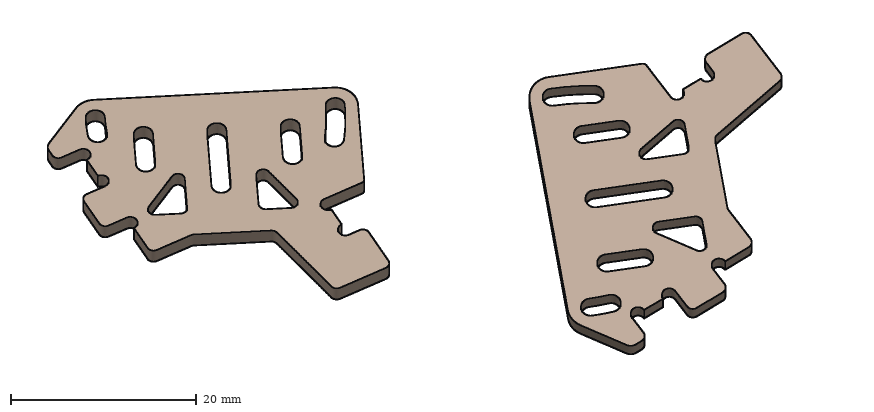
import cadquery as cq
import math

length_x = 35.5
thickness = 2.0

pivot = (2.5, 6.53)
spine_angle = 65.0
spine_length = 26.0
body_radius = 2.5
body_width = 16.55
foot_slant = 60.0
arm_slant = 10.0

socket_left = 24.07
socket_right = 29.6
socket_floor = 22.95
arm_top = 25.0
arm_lower_corner = 18.0

lower_floor = 2.98
foot_right = 5.45
tooth_left = 11.15
tooth_right = 16.05
heel_right = 21.48
relief_width = 1.6
relief_radius = relief_width / 2
corner_radius = 0.75
shoulder_radius = 0.5
foot_tip_radius = 1.0

slot_width = 2.1
slot_start = 2.6
short_slot_length = 4.0
long_slot_length = 7.42
short_slot_offset = 7.95
upper_arc_sweep = 10.0
lower_arc_sweep = 5.0
window_right = 13.6
window_offset = 3.87
window_height = 4.95
window_angle = 35.0
window_radius = 0.75


def polar(center, radius, angle):
    """Point at a given radius and angle in degrees from a centre."""
    a = math.radians(angle)
    return (center[0] + radius * math.cos(a), center[1] + radius * math.sin(a))


def on_body(along, across):
    """Point measured along the spine from the pivot, then across to the right."""
    return polar(polar(pivot, along, spine_angle), across, spine_angle - 90)


def meet(p, p_angle, q, q_angle):
    """Intersection of two lines, each given by a point and a direction."""
    a = math.radians(p_angle)
    b = math.radians(q_angle)
    travel = (q[0] - p[0]) * math.sin(b) - (q[1] - p[1]) * math.cos(b)
    return polar(p, travel / math.sin(b - a), p_angle)


def prism(points):
    return cq.Workplane("XY").polyline(points).close().extrude(thickness)


def round_corners(body, points, radius):
    """Fillet the upright edges standing on the given points."""
    half = 0.018
    for x, y in points:
        box = cq.selectors.BoxSelector((x - half, y - half, -0.35), (x + half, y + half, thickness + 0.35))
        body = body.edges("|Z").edges(box).fillet(radius)
    return body


def make_plate():
    left_edge = on_body(0, -body_radius)
    top_edge = on_body(spine_length + body_radius, 0)
    slant_edge = polar(pivot, body_radius, 270 - foot_slant)
    right_edge = on_body(0, body_width)

    lower_left = meet(left_edge, spine_angle, slant_edge, -foot_slant)
    upper_left = meet(left_edge, spine_angle, top_edge, spine_angle - 90)
    foot_left = meet(slant_edge, -foot_slant, (0, 0), 0)
    shoulder = meet(top_edge, spine_angle - 90, (socket_left, 0), 90)
    arm_lower = (length_x, arm_lower_corner)
    armpit = meet(arm_lower, arm_slant, right_edge, spine_angle)
    heel_upper = meet(right_edge, spine_angle, (heel_right, 0), 90)

    foot_corner = (foot_right, 0)
    tooth_corners = [(tooth_left, 0), (tooth_right, 0)]
    heel_corner = (heel_right, lower_floor)
    arm_corners = [(length_x, arm_top), (socket_right, arm_top)]
    plate = prism([
        lower_left, foot_left, foot_corner,
        (foot_right, lower_floor), (tooth_left, lower_floor),
        *tooth_corners,
        (tooth_right, lower_floor), heel_corner,
        heel_upper, armpit, arm_lower,
        *arm_corners,
        (socket_right, socket_floor), (socket_left, socket_floor),
        shoulder, upper_left,
    ])
    plate = round_corners(plate, [lower_left, upper_left], body_radius)
    plate = round_corners(plate, [foot_corner, *tooth_corners, heel_corner], corner_radius)
    plate = round_corners(plate, [heel_upper, armpit, arm_lower, *arm_corners], corner_radius)
    plate = round_corners(plate, [foot_left], foot_tip_radius)
    return round_corners(plate, [shoulder], shoulder_radius)


def make_reliefs():
    """Round reliefs at the inner corners, tangent to the upright walls."""
    centers = [
        (foot_right + relief_radius, lower_floor),
        (tooth_left - relief_radius, lower_floor),
        (tooth_right + relief_radius, lower_floor),
        (socket_left + relief_radius, socket_floor),
        (socket_right - relief_radius, socket_floor),
    ]
    return cq.Workplane("XY").pushPoints(centers).circle(relief_radius).extrude(thickness)


def straight_slot(along, length):
    center = on_body(along, slot_start + length / 2)
    return (
        cq.Workplane("XY").center(*center)
        .slot2D(length + slot_width, slot_width, spine_angle - 90)
        .extrude(thickness)
    )


def arc_slot(center, start_angle, sweep):
    """Slot curved about a centre at one end of the spine."""
    half = slot_width / 2
    inner = spine_length - half
    outer = spine_length + half
    end_angle = start_angle + sweep
    middle = start_angle + sweep / 2
    cap_turn = math.copysign(90, sweep)
    start_cap = polar(polar(center, spine_length, start_angle), half, start_angle - cap_turn)
    end_cap = polar(polar(center, spine_length, end_angle), half, end_angle + cap_turn)
    return (
        cq.Workplane("XY").moveTo(*polar(center, inner, start_angle))
        .threePointArc(polar(center, inner, middle), polar(center, inner, end_angle))
        .threePointArc(end_cap, polar(center, outer, end_angle))
        .threePointArc(polar(center, outer, middle), polar(center, outer, start_angle))
        .threePointArc(start_cap, polar(center, inner, start_angle))
        .close().extrude(thickness)
    )


def window(side):
    """Right-angled triangular window, above (+1) or below (-1) the spine's middle."""
    base = spine_length / 2 + side * window_offset
    window_length = window_height / math.tan(math.radians(window_angle))
    points = [
        on_body(base, window_right),
        on_body(base + side * window_height, window_right),
        on_body(base, window_right - window_length),
    ]
    return prism(points).edges("|Z").fillet(window_radius)


result = make_plate().cut(make_reliefs())
result = result.cut(straight_slot(spine_length / 2, long_slot_length))
for side in (-1, 1):
    result = result.cut(straight_slot(spine_length / 2 + side * short_slot_offset, short_slot_length))
    result = result.cut(window(side))
result = result.cut(arc_slot(pivot, spine_angle, -upper_arc_sweep))
result = result.cut(arc_slot(on_body(spine_length, 0), spine_angle + 180, lower_arc_sweep))